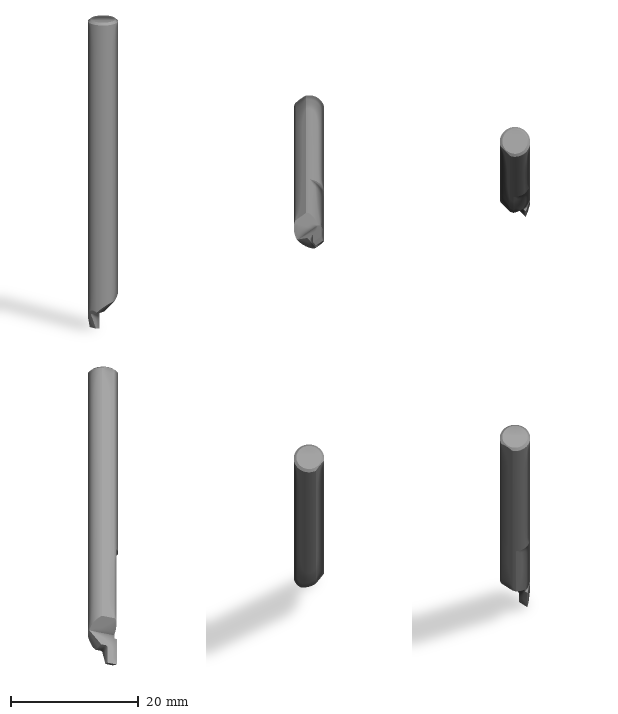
import cadquery as cq
import math

length = 50.8
radius = 2.4
top_chamfer_width = 0.4
top_chamfer_height = 0.35
clamp_flat_y = 2.15

relief_bottom = 4.45
relief_top = 19.15
relief_crown_x = -1.95
relief_edge_y = 1.85

rake_runout_z = 6.85
rake_start_z = 5.05

tooth_inner_x = -0.75
clearance_roof_z = 3.0
clearance_slope_x = 0.3
clearance_slope_z = 5.1
clearance_fillet = 0.3

tooth_foot_y = -0.8
tooth_foot_z = 0.15
front_slope_z = 3.6
flank_edge_y = -1.6
flank_edge_x = -1.75

margin = 1.0
reach = radius + margin


def prism_along_x(points):
    """Prism over a YZ outline, crossing the whole shank."""
    return cq.Workplane("YZ").polyline(points).close().extrude(reach, both=True)


def shank():
    """Cylinder with a chamfered top and one long clamping flat."""
    body = cq.Workplane("XY").circle(radius).extrude(length)
    body = body.faces(">Z").chamfer(top_chamfer_height, top_chamfer_width)
    flat_cut = (
        cq.Workplane("XY")
        .box(2 * reach, margin, length, centered=(True, False, False))
        .translate((0, clamp_flat_y, 0))
    )
    return body.cut(flat_cut)


def side_relief():
    """Cutter leaving a flatter arc on the -X side of the shank."""
    relief_edge_x = -math.sqrt(radius**2 - relief_edge_y**2)
    return (
        cq.Workplane("XY", origin=(0, 0, relief_bottom))
        .moveTo(relief_edge_x, -relief_edge_y)
        .threePointArc((relief_crown_x, 0), (relief_edge_x, relief_edge_y))
        .lineTo(-reach, relief_edge_y)
        .lineTo(-reach, -relief_edge_y)
        .close()
        .extrude(relief_top - relief_bottom)
    )


def rake_cut():
    """Cutter exposing the rake face, with a sloping run-out."""
    slope = (rake_runout_z - rake_start_z) / clamp_flat_y
    return prism_along_x([
        (0, -margin),
        (0, rake_start_z),
        (reach, rake_start_z + slope * reach),
        (reach, -margin),
    ])


def tip_clearance():
    """Cutter beside the tooth, with a roof rising toward +X."""
    slope = (clearance_slope_z - clearance_roof_z) / (radius - clearance_slope_x)
    cutter = (
        cq.Workplane("XZ")
        .polyline([
            (tooth_inner_x, -margin),
            (tooth_inner_x, clearance_roof_z),
            (clearance_slope_x, clearance_roof_z),
            (reach, clearance_slope_z + slope * margin),
            (reach, -margin),
        ])
        .close()
        .extrude(reach, both=True)
    )
    corner = cq.selectors.NearestToPointSelector((tooth_inner_x, 0, clearance_roof_z))
    return cutter.edges("|Y").edges(corner).fillet(clearance_fillet)


def front_slope():
    """Cutter for the tooth foot and the slope up its front."""
    slope = (front_slope_z - tooth_foot_z) / (tooth_foot_y + radius)
    return prism_along_x([
        (0, 0),
        (tooth_foot_y, tooth_foot_z),
        (-reach, front_slope_z + slope * margin),
        (-reach, -margin),
        (0, -margin),
    ])


def outer_flank():
    """Cutter for the flat flank on the outside of the tooth."""
    return (
        cq.Workplane("XY")
        .polyline([
            (-radius, 0),
            (flank_edge_x, flank_edge_y),
            (-reach, flank_edge_y),
            (-reach, 0),
        ])
        .close()
        .extrude(relief_bottom)
    )


result = (
    shank()
    .cut(side_relief())
    .cut(rake_cut())
    .cut(tip_clearance())
    .cut(front_slope())
    .cut(outer_flank())
)